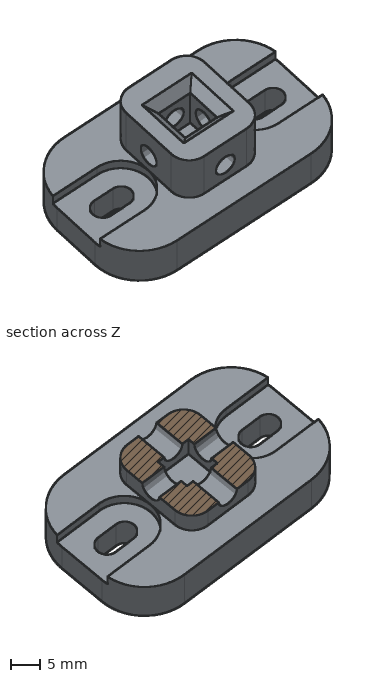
import cadquery as cq

base_width = 30
base_length = 50
base_height = 8
base_corner_radius = 10

block_width = 20
block_length = 17.5
block_height = 10
block_corner_radius = 4
total_height = base_height + block_height

socket_side = 7.1
flare_depth = 2
mouth_side = socket_side + 2 * flare_depth
socket_depth = block_height

cross_hole_diameter = 4.2
cross_hole_z = base_height + 4

recess_width = 12.5
recess_depth = 2
slot_width = 4.3
slot_length = 8.5
slot_y = 17


def rounded_block(width, length, height, radius, bottom_z):
    block = cq.Workplane("XY").workplane(offset=bottom_z).rect(width, length).extrude(height)
    return block.edges("|Z").fillet(radius)


def socket_cutter():
    socket = (
        cq.Workplane("XY")
        .workplane(offset=total_height - socket_depth)
        .rect(socket_side, socket_side)
        .extrude(socket_depth)
    )
    flare = (
        cq.Workplane("XY")
        .workplane(offset=total_height - flare_depth)
        .rect(socket_side, socket_side)
        .workplane(offset=flare_depth)
        .rect(mouth_side, mouth_side)
        .loft(ruled=True)
    )
    return socket.union(flare)


def cross_hole(plane, span):
    return (
        cq.Workplane(plane)
        .center(0, cross_hole_z)
        .circle(cross_hole_diameter / 2)
        .extrude(span / 2, both=True)
    )


def recess_cutter(side):
    """Recess whose round end touches the block; side is +1 or -1 along Y."""
    radius = recess_width / 2
    arc_y = block_length / 2 + radius
    end_y = base_length / 2
    return (
        cq.Workplane("XY")
        .workplane(offset=base_height - recess_depth)
        .moveTo(-radius, side * end_y)
        .lineTo(-radius, side * arc_y)
        .threePointArc((0, side * (arc_y - radius)), (radius, side * arc_y))
        .lineTo(radius, side * end_y)
        .close()
        .extrude(recess_depth)
    )


def slot_cutter(side):
    return (
        cq.Workplane("XY")
        .center(0, side * slot_y)
        .slot2D(slot_length, slot_width, 90)
        .extrude(base_height)
    )


base = rounded_block(base_width, base_length, base_height, base_corner_radius, 0)
block = rounded_block(block_width, block_length, block_height, block_corner_radius, base_height)

result = base.union(block).cut(socket_cutter())
result = result.cut(cross_hole("XZ", block_length)).cut(cross_hole("YZ", block_width))
for end in (1, -1):
    result = result.cut(recess_cutter(end)).cut(slot_cutter(end))